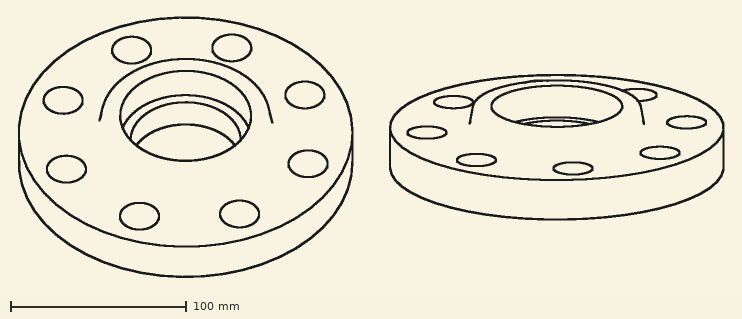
import cadquery as cq

flange_diameter = 190.5
flange_thickness = 23.8
total_height = 36.5

bolt_hole_count = 8
bolt_hole_diameter = 22.3
bolt_circle_diameter = 149.3

hub_base_diameter = 100.2
hub_draft_angle = 10.0
hub_edge_radius = 1.3

bore_diameter = 62.8
socket_diameter = 74.7
socket_depth = 19.0

hub_height = total_height - flange_thickness


def make_flange():
    """Plain disc resting on the XY plane."""
    return cq.Workplane("XY").circle(flange_diameter / 2).extrude(flange_thickness)


def make_hub():
    """Truncated cone standing on the flange face."""
    return (
        cq.Workplane("XY", origin=(0, 0, flange_thickness))
        .circle(hub_base_diameter / 2)
        .extrude(hub_height, taper=hub_draft_angle)
    )


def round_hub(body):
    """Blend the hub into the flange face and round its outer rim."""
    rim_and_root = cq.selectors.RadiusNthSelector(0) + cq.selectors.RadiusNthSelector(1)
    return body.edges(rim_and_root).fillet(hub_edge_radius)


def cut_bore(body):
    """Through bore widened into a pipe socket from the hub end."""
    return body.faces(">Z").workplane().cboreHole(bore_diameter, socket_diameter, socket_depth)


def cut_bolt_holes(body):
    """Ring of equally spaced through holes in the flange."""
    bolt_holes = (
        cq.Workplane("XY")
        .polarArray(bolt_circle_diameter / 2, 0, 360, bolt_hole_count)
        .circle(bolt_hole_diameter / 2)
        .extrude(flange_thickness)
    )
    return body.cut(bolt_holes)


blank = round_hub(make_flange().union(make_hub()))
result = cut_bolt_holes(cut_bore(blank))